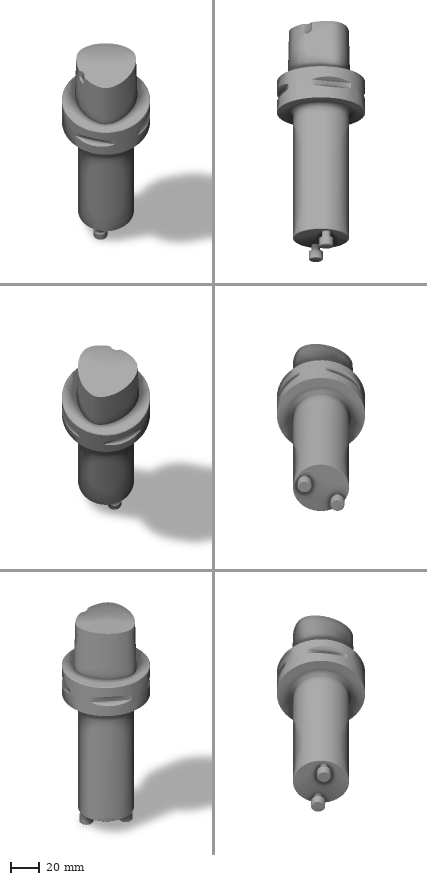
import cadquery as cq
import math

total_height = 169.0
shank_length = 38.0
flange_height = 24.0
screw_head_height = 6.0
screw_neck_length = 5.0

body_base = screw_head_height + screw_neck_length
flange_top = total_height - shank_length
flange_base = flange_top - flange_height

flange_diameter = 63.0
flange_chamfer = 0.5
body_diameter = 40.0
body_chamfer = 0.3
body_fillet = 3.0

shank_base_diameter = 44.6
shank_taper = 1 / 20
lobe_height = 1.47
lobe_count = 3
lobe_direction = 90
lobe_half_span = 38
points_per_stretch = 6

notch_radius = 5.0
notch_depth = 1.9
notch_length = 6.3

groove_count = 4
groove_angle = 45
groove_floor_distance = 27.9
groove_floor_width = 3.7
groove_mouth_width = 8.0
groove_drop = 11.8

screw_head_diameter = 10.0
screw_neck_diameter = 6.0
screw_head_chamfer = 0.5
screw_offset = 10.0


def disc(diameter, base, height):
    return cq.Workplane("XY").workplane(offset=base).circle(diameter / 2).extrude(height)


def shank_point(mean_radius, angle):
    """Point of the lobed outline whose outward normal has the given angle in degrees."""
    normal = math.radians(angle)
    phase = lobe_count * math.radians(angle - lobe_direction)
    support = mean_radius + lobe_height * math.cos(phase)
    slope = -lobe_count * lobe_height * math.sin(phase)
    return cq.Vector(
        support * math.cos(normal) - slope * math.sin(normal),
        support * math.sin(normal) + slope * math.cos(normal),
    )


def shank_stretch(mean_radius, start, end):
    """Smooth stretch of the lobed outline between two normal angles."""
    step = (end - start) / (points_per_stretch - 1)
    angles = [start + i * step for i in range(points_per_stretch)]
    tangents = [
        cq.Vector(-math.sin(math.radians(a)), math.cos(math.radians(a))) for a in (start, end)
    ]
    return cq.Edge.makeSpline([shank_point(mean_radius, a) for a in angles], tangents=tangents)


def shank_outline(mean_radius, height):
    """Closed outline of alternating lobes and flatter sides."""
    pitch = 360 / lobe_count
    stretches = []
    for i in range(lobe_count):
        lobe = lobe_direction + i * pitch
        lobe_end = lobe + lobe_half_span
        stretches.append(shank_stretch(mean_radius, lobe - lobe_half_span, lobe_end))
        stretches.append(shank_stretch(mean_radius, lobe_end, lobe + pitch - lobe_half_span))
    return cq.Wire.assembleEdges(stretches).moved(cq.Location(cq.Vector(0, 0, height)))


def make_shank():
    base_radius = shank_base_diameter / 2
    top_radius = base_radius - shank_taper * shank_length / 2
    outlines = [
        shank_outline(base_radius, flange_top),
        shank_outline(top_radius, total_height),
    ]
    shank = cq.Workplane(cq.Solid.makeLoft(outlines, True))
    return shank.cut(make_notch(top_radius - lobe_height))


def make_notch(face_distance):
    """Vertical round groove ending in a 90 degree conical point."""
    axis_y = -(face_distance - notch_depth + notch_radius)
    notch_base = total_height - notch_length
    profile = [
        (0, total_height),
        (notch_radius, total_height),
        (notch_radius, notch_base),
        (0, notch_base - notch_radius),
    ]
    cutter = cq.Workplane("XZ").polyline(profile).close().revolve(360, (0, 0), (0, 1))
    return cutter.translate((0, axis_y, 0))


def make_flange():
    flange = disc(flange_diameter, flange_base, flange_height)
    flange = flange.faces(">Z").edges().chamfer(flange_chamfer)
    for i in range(groove_count):
        flange = flange.cut(make_groove(groove_angle + i * 360 / groove_count))
    return flange


def make_groove(angle):
    """Straight groove with a flat floor and sloping flanks, open to the flange rim."""
    rim = flange_diameter / 2
    middle = flange_top - groove_drop
    profile = [
        (groove_floor_distance, middle - groove_floor_width / 2),
        (rim, middle - groove_mouth_width / 2),
        (rim, middle + groove_mouth_width / 2),
        (groove_floor_distance, middle + groove_floor_width / 2),
    ]
    cutter = cq.Workplane("XZ").polyline(profile).close().extrude(rim, both=True)
    return cutter.rotate((0, 0, 0), (0, 0, 1), angle)


def make_body():
    body = disc(body_diameter, body_base, flange_base - body_base)
    return body.faces("<Z").edges().chamfer(body_chamfer)


def make_screw():
    head = disc(screw_head_diameter, 0, screw_head_height)
    head = head.faces("<Z").edges().chamfer(screw_head_chamfer)
    return head.union(disc(screw_neck_diameter, screw_head_height, screw_neck_length))


def round_body_root(part):
    """Fillet the corner where the body meets the underside of the flange."""
    underside = part.faces(cq.selectors.NearestToPointSelector((0, 0, flange_base)))
    return underside.edges(cq.selectors.RadiusNthSelector(0)).fillet(body_fillet)


result = round_body_root(make_flange().union(make_body()))
result = result.union(make_shank())
for side in (-1, 1):
    result = result.union(make_screw().translate((side * screw_offset, -side * screw_offset, 0)))